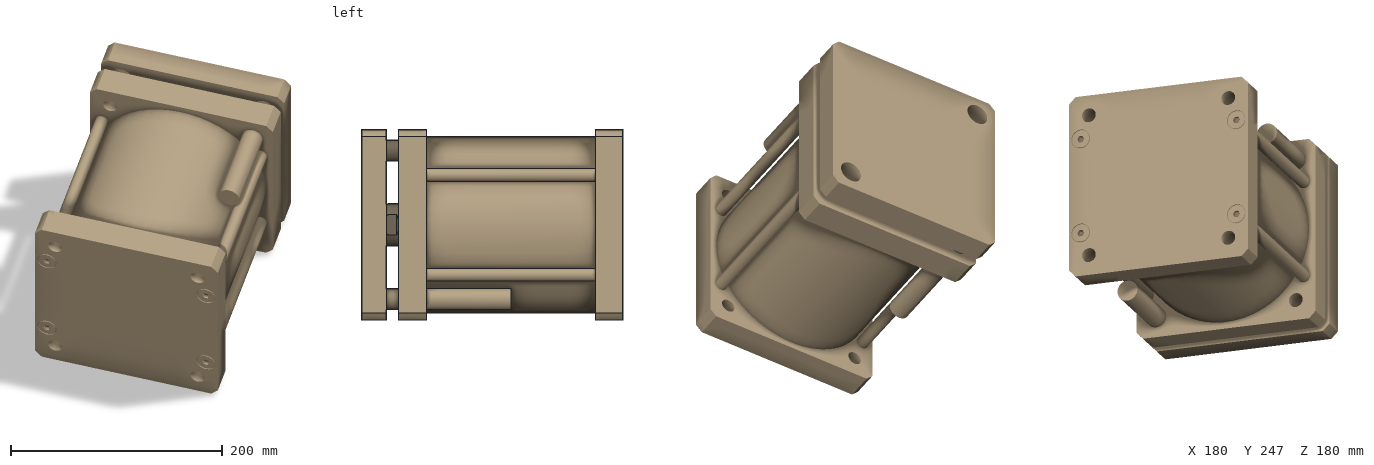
import cadquery as cq
import math

plate_side = 180.0
total_length = 247.0
half_side = plate_side / 2
corner_cut = 6.7
front_plate_thickness = 26.2
middle_plate_thickness = 26.7
back_plate_thickness = 23.5
plate_gap = 11.4

front_y = -total_length / 2
body_front_y = front_y + front_plate_thickness
back_y = total_length / 2
gap_back_y = back_y - back_plate_thickness
gap_front_y = gap_back_y - plate_gap
body_back_y = gap_front_y - middle_plate_thickness

body_diameter = 167.0
tie_rod_diameter = 12.0
tie_rod_x = 78.3
tie_rod_z = 47.2

screw_recess_diameter = 19.0
screw_head_diameter = 17.0
screw_ring_depth = 1.0
socket_across_flats = 6.2
socket_depth = 3.7

corner_hole_diameter = 13.8
back_hole_diameter = 22.0
pin_diameter = 20.0
pin_offset = 70.1
pin_protrusion = 79.5

piston_rod_diameter = 40.0
rod_flat_offset = 17.5
rod_flat_bevel = 1.7
rod_chamfer_radial = 0.5
rod_chamfer_axial = 2.0


def y_cylinder(x, z, diameter, start_y, end_y):
    """Cylinder parallel to Y from start_y to end_y."""
    base = cq.Workplane("XZ", origin=(x, start_y, z))
    return base.circle(diameter / 2).extrude(start_y - end_y)


def make_plate(start_y, thickness):
    """Square plate whose corners are arcs centred on the plate axis."""
    flat_end = half_side - corner_cut
    arc_mid = math.hypot(half_side, flat_end) / math.sqrt(2)
    profile = cq.Workplane("XZ", origin=(0, start_y, 0)).moveTo(half_side, -flat_end)
    profile = profile.lineTo(half_side, flat_end)
    profile = profile.threePointArc((arc_mid, arc_mid), (flat_end, half_side))
    profile = profile.lineTo(-flat_end, half_side)
    profile = profile.threePointArc((-arc_mid, arc_mid), (-half_side, flat_end))
    profile = profile.lineTo(-half_side, -flat_end)
    profile = profile.threePointArc((-arc_mid, -arc_mid), (-flat_end, -half_side))
    profile = profile.lineTo(flat_end, -half_side)
    profile = profile.threePointArc((arc_mid, -arc_mid), (half_side, -flat_end))
    return profile.close().extrude(-thickness)


def make_piston_rod():
    """Rod across the gap, chamfered at the back plate and flattened on both X sides."""
    radius = piston_rod_diameter / 2
    rod = y_cylinder(0, 0, piston_rod_diameter, gap_front_y, gap_back_y)
    rod = rod.faces(">Y").chamfer(rod_chamfer_axial, rod_chamfer_radial)
    for side in (-1, 1):
        cutter = (
            cq.Workplane("XY")
            .box(radius, 2 * plate_gap, 2 * radius)
            .edges("|Z")
            .chamfer(rod_flat_bevel)
            .translate((side * (rod_flat_offset + radius / 2), gap_back_y, 0))
        )
        rod = rod.cut(cutter)
    return rod


def make_screw_recess(x, z):
    """Ring groove around a flush screw head, plus its hexagon socket."""
    ring_end_y = front_y + screw_ring_depth
    ring = y_cylinder(x, z, screw_recess_diameter, front_y, ring_end_y)
    ring = ring.cut(y_cylinder(x, z, screw_head_diameter, front_y, ring_end_y))
    across_corners = socket_across_flats / math.cos(math.pi / 6)
    socket = (
        cq.Workplane("XZ", origin=(x, front_y, z))
        .polygon(6, across_corners)
        .extrude(-socket_depth)
    )
    return ring.union(socket)


result = make_plate(front_y, front_plate_thickness)
result = result.union(y_cylinder(0, 0, body_diameter, body_front_y, body_back_y))
result = result.union(make_plate(body_back_y, middle_plate_thickness))
result = result.union(make_piston_rod())
result = result.union(make_plate(gap_back_y, back_plate_thickness))

for x in (-tie_rod_x, tie_rod_x):
    for z in (-tie_rod_z, tie_rod_z):
        result = result.union(y_cylinder(x, z, tie_rod_diameter, body_front_y, body_back_y))
        result = result.cut(make_screw_recess(x, z))

for x_side in (-1, 1):
    for z_side in (-1, 1):
        x = x_side * pin_offset
        z = z_side * pin_offset
        if x_side == z_side:
            pin_front_y = body_back_y - pin_protrusion
            result = result.union(y_cylinder(x, z, pin_diameter, pin_front_y, gap_back_y))
            hole_end_y = body_front_y
        else:
            result = result.cut(y_cylinder(x, z, back_hole_diameter, gap_back_y, back_y))
            hole_end_y = gap_front_y
        result = result.cut(y_cylinder(x, z, corner_hole_diameter, front_y, hole_end_y))